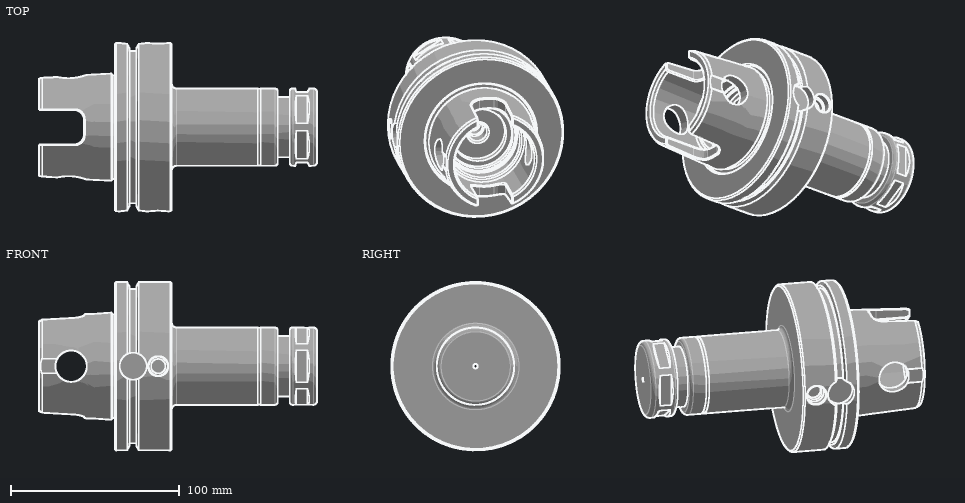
import cadquery as cq
import math

TOTAL_LENGTH = 165.0

SHANK_TIP_RADIUS = 29.7
SHANK_BASE_RADIUS = 31.8
TIP_CHAMFER_LENGTH = 2.1
TIP_CHAMFER_DEPTH = 1.0
SHANK_END_X = 42.9

FLANGE_START_X = 44.9
FLANGE_END_X = 78.9
FLANGE_RADIUS = 50.0
FLANGE_CHAMFER = 1.0
UNDERCUT_RADIUS = 30.9
UNDERCUT_BEVEL_LENGTH = 0.8
UNDERCUT_OUTER_RADIUS = 33.3
UNDERCUT_DEPTH = 1.0
UNDERCUT_CHAMFER = 0.8

GROOVE_START_X = 53.8
GROOVE_END_X = 57.8
GROOVE_BOTTOM_RADIUS = 45.9
GROOVE_FLARE = 1.5
GROOVE_FLARE_HEIGHT = 2.6

BODY_RADIUS = 46.0 / 2
BODY_FILLET = 2.6
BODY_END_X = 141.7
BODY_END_ROUND = 2.0
RING_START_X = 129.9
RING_END_X = 131.7
RING_DEPTH = 0.2
NECK_RADIUS = 36.0 / 2

NUT_START_X = 148.7
NUT_RADIUS = BODY_RADIUS
NUT_BACK_ROUND = 1.8
NUT_FRONT_ROUND = 2.5
FLAT_COUNT = 6
FLAT_DISTANCE = 21.0
FLAT_START_X = 152.6
FLAT_END_X = 159.2
FLAT_BACK_FLARE = 0.7
FLAT_FRONT_FLARE = 1.2

BORE_RADIUS = 24.1
BORE_MOUTH_CHAMFER = 1.0
BORE_MOUTH_LENGTH = 1.8
BORE_END_X = 34.0
BORE_CONE_RADIUS = 23.0
BORE_CONE_END_X = 35.6
SHOULDER_RADIUS = 21.6
SHOULDER_END_X = 43.4
LEDGE_RADIUS = 20.8
LEDGE_END_X = 45.9
SEAT_RADIUS = 19.5
SEAT_END_X = 49.5
FLOOR_RADIUS = 16.2
FLOOR_X = 54.5

SOCKET_RADIUS = 11.2 / 2
SOCKET_CHAMFER = 1.2
SOCKET_DEPTH = 9.9
SOCKET_SEAT_RADIUS = 9.0 / 2
SOCKET_SEAT_DEPTH = 6.6
COOLANT_HOLE_RADIUS = 2.5 / 2

SLOT_WIDTH = 20.3
SLOT_END_X = 26.7
SLOT_CORNER_RADIUS = 5.8
SLOT_EDGE_CHAMFER = 0.7

CROSS_HOLE_X = 19.1
CROSS_HOLE_DIAMETER = 18.5
KEY_FLAT_WIDTH = 8.5
KEY_FLAT_DISTANCE = 29.2

NOTCH_X = 56.0
NOTCH_DIAMETER = 16.0
NOTCH_FLOOR = 44.5
PORT_X = 70.8
PORT_MOUTH_DIAMETER = 12.0
PORT_DIAMETER = 11.2
PORT_FLOOR = 44.5
PORT_SEAT_DIAMETER = 8.5
PORT_SEAT_DEPTH = 3.3


def revolve_about_x(profile):
    return profile.close().revolve(360, (0, 0, 0), (1, 0, 0))


def turned_outside():
    flare_radius = FLANGE_RADIUS - GROOVE_FLARE_HEIGHT
    corner_offset = 1 - math.sqrt(0.5)
    fillet_middle = BODY_FILLET * corner_offset
    round_middle = BODY_END_ROUND * corner_offset
    profile = (
        cq.Workplane("XY")
        .lineTo(0, SHANK_TIP_RADIUS - TIP_CHAMFER_DEPTH)
        .lineTo(TIP_CHAMFER_LENGTH, SHANK_TIP_RADIUS)
        .lineTo(SHANK_END_X, SHANK_BASE_RADIUS)
        .lineTo(SHANK_END_X + UNDERCUT_BEVEL_LENGTH, UNDERCUT_RADIUS)
        .lineTo(FLANGE_START_X + UNDERCUT_DEPTH, UNDERCUT_RADIUS)
        .lineTo(FLANGE_START_X + UNDERCUT_DEPTH, UNDERCUT_OUTER_RADIUS)
        .lineTo(FLANGE_START_X, UNDERCUT_OUTER_RADIUS + UNDERCUT_CHAMFER)
        .lineTo(FLANGE_START_X, FLANGE_RADIUS - FLANGE_CHAMFER)
        .lineTo(FLANGE_START_X + FLANGE_CHAMFER, FLANGE_RADIUS)
        .lineTo(GROOVE_START_X - GROOVE_FLARE, FLANGE_RADIUS)
        .lineTo(GROOVE_START_X, flare_radius)
        .lineTo(GROOVE_START_X, GROOVE_BOTTOM_RADIUS)
        .lineTo(GROOVE_END_X, GROOVE_BOTTOM_RADIUS)
        .lineTo(GROOVE_END_X, flare_radius)
        .lineTo(GROOVE_END_X + GROOVE_FLARE, FLANGE_RADIUS)
        .lineTo(FLANGE_END_X - FLANGE_CHAMFER, FLANGE_RADIUS)
        .lineTo(FLANGE_END_X, FLANGE_RADIUS - FLANGE_CHAMFER)
        .lineTo(FLANGE_END_X, BODY_RADIUS + BODY_FILLET)
        .threePointArc(
            (FLANGE_END_X + fillet_middle, BODY_RADIUS + fillet_middle),
            (FLANGE_END_X + BODY_FILLET, BODY_RADIUS),
        )
        .lineTo(RING_START_X, BODY_RADIUS)
        .lineTo(RING_START_X, BODY_RADIUS - RING_DEPTH)
        .lineTo(RING_END_X, BODY_RADIUS - RING_DEPTH)
        .lineTo(RING_END_X, BODY_RADIUS)
        .lineTo(BODY_END_X - BODY_END_ROUND, BODY_RADIUS)
        .threePointArc(
            (BODY_END_X - round_middle, BODY_RADIUS - round_middle),
            (BODY_END_X, BODY_RADIUS - BODY_END_ROUND),
        )
        .lineTo(BODY_END_X, NECK_RADIUS)
        .lineTo(NUT_START_X, NECK_RADIUS)
        .lineTo(NUT_START_X, 0)
    )
    return revolve_about_x(profile)


def clamping_nut():
    nut_length = TOTAL_LENGTH - NUT_START_X
    nut = cq.Workplane("YZ", origin=(NUT_START_X, 0, 0)).circle(NUT_RADIUS).extrude(nut_length)
    nut = nut.edges("<X").fillet(NUT_BACK_ROUND).edges(">X").fillet(NUT_FRONT_ROUND)
    flat_depth = NUT_RADIUS - FLAT_DISTANCE
    wrench_flat = (
        cq.Workplane("XY")
        .moveTo(FLAT_START_X, FLAT_DISTANCE)
        .lineTo(FLAT_END_X, FLAT_DISTANCE)
        .lineTo(FLAT_END_X + FLAT_FRONT_FLARE, FLAT_DISTANCE + flat_depth)
        .lineTo(FLAT_START_X - FLAT_BACK_FLARE, FLAT_DISTANCE + flat_depth)
        .close()
        .extrude(NUT_RADIUS / 2, both=True)
    )
    for index in range(FLAT_COUNT):
        nut = nut.cut(wrench_flat.rotate((0, 0, 0), (1, 0, 0), index * 360 / FLAT_COUNT))
    return nut


def bore():
    socket_end_x = FLOOR_X + SOCKET_DEPTH
    seat_end_x = socket_end_x + SOCKET_SEAT_DEPTH
    profile = (
        cq.Workplane("XY")
        .lineTo(0, BORE_RADIUS + BORE_MOUTH_CHAMFER)
        .lineTo(BORE_MOUTH_LENGTH, BORE_RADIUS)
        .lineTo(BORE_END_X, BORE_RADIUS)
        .lineTo(BORE_CONE_END_X, BORE_CONE_RADIUS)
        .lineTo(BORE_CONE_END_X, SHOULDER_RADIUS)
        .lineTo(SHOULDER_END_X, SHOULDER_RADIUS)
        .lineTo(SHOULDER_END_X, LEDGE_RADIUS)
        .lineTo(LEDGE_END_X, LEDGE_RADIUS)
        .lineTo(LEDGE_END_X, SEAT_RADIUS)
        .lineTo(SEAT_END_X, SEAT_RADIUS)
        .lineTo(SEAT_END_X, FLOOR_RADIUS)
        .lineTo(FLOOR_X, FLOOR_RADIUS)
        .lineTo(FLOOR_X, SOCKET_RADIUS + SOCKET_CHAMFER)
        .lineTo(FLOOR_X + SOCKET_CHAMFER, SOCKET_RADIUS)
        .lineTo(socket_end_x, SOCKET_RADIUS)
        .lineTo(socket_end_x, SOCKET_SEAT_RADIUS)
        .lineTo(seat_end_x, SOCKET_SEAT_RADIUS)
        .lineTo(seat_end_x, COOLANT_HOLE_RADIUS)
        .lineTo(TOTAL_LENGTH, COOLANT_HOLE_RADIUS)
        .lineTo(TOTAL_LENGTH, 0)
    )
    return revolve_about_x(profile)


def drive_slots():
    return (
        cq.Workplane("XY")
        .rect(2 * SLOT_END_X, SLOT_WIDTH)
        .extrude(SHANK_BASE_RADIUS, both=True)
        .edges("|Z and >X")
        .fillet(SLOT_CORNER_RADIUS)
    )


def chamfer_slot_edges(part):
    margin = 0.2
    half_width = SLOT_WIDTH / 2 + margin
    slot_box = cq.selectors.BoxSelector(
        (-margin, -half_width, -SHANK_BASE_RADIUS),
        (SLOT_END_X + margin, half_width, SHANK_BASE_RADIUS),
    )
    mouth_box = cq.selectors.BoxSelector(
        (-margin, -half_width, -SHANK_BASE_RADIUS),
        (margin, half_width, SHANK_BASE_RADIUS),
    )
    smooth_edges = cq.selectors.ParallelDirSelector(cq.Vector(0, 0, 1)) - mouth_box
    return part.edges(slot_box - smooth_edges).chamfer(SLOT_EDGE_CHAMFER)


def hole_along_y(x, diameter, start_y, end_y):
    return cq.Workplane("XZ", origin=(x, start_y, 0)).circle(diameter / 2).extrude(start_y - end_y)


def key_flat():
    height = SHANK_BASE_RADIUS - KEY_FLAT_DISTANCE
    block = cq.Workplane("XY").box(CROSS_HOLE_X, height, KEY_FLAT_WIDTH, centered=(False, False, True))
    return block.translate((0, KEY_FLAT_DISTANCE, 0))


def rim_port():
    mouth_depth = (PORT_MOUTH_DIAMETER - PORT_DIAMETER) / 2
    edge_y = math.sqrt(FLANGE_RADIUS**2 - (PORT_MOUTH_DIAMETER / 2) ** 2)
    mouth = hole_along_y(PORT_X, PORT_MOUTH_DIAMETER, edge_y - mouth_depth, FLANGE_RADIUS)
    port = hole_along_y(PORT_X, PORT_DIAMETER, PORT_FLOOR, FLANGE_RADIUS)
    seat = hole_along_y(PORT_X, PORT_SEAT_DIAMETER, PORT_FLOOR - PORT_SEAT_DEPTH, FLANGE_RADIUS)
    return mouth.union(port).union(seat)


def cut_both_sides(part, cutter):
    return part.cut(cutter).cut(cutter.mirror("XZ"))


result = turned_outside().union(clamping_nut())
result = result.cut(bore()).cut(drive_slots())
result = chamfer_slot_edges(result)
result = result.cut(hole_along_y(CROSS_HOLE_X, CROSS_HOLE_DIAMETER, -FLANGE_RADIUS, FLANGE_RADIUS))
result = cut_both_sides(result, key_flat())
result = cut_both_sides(result, hole_along_y(NOTCH_X, NOTCH_DIAMETER, NOTCH_FLOOR, FLANGE_RADIUS))
result = cut_both_sides(result, rim_port())